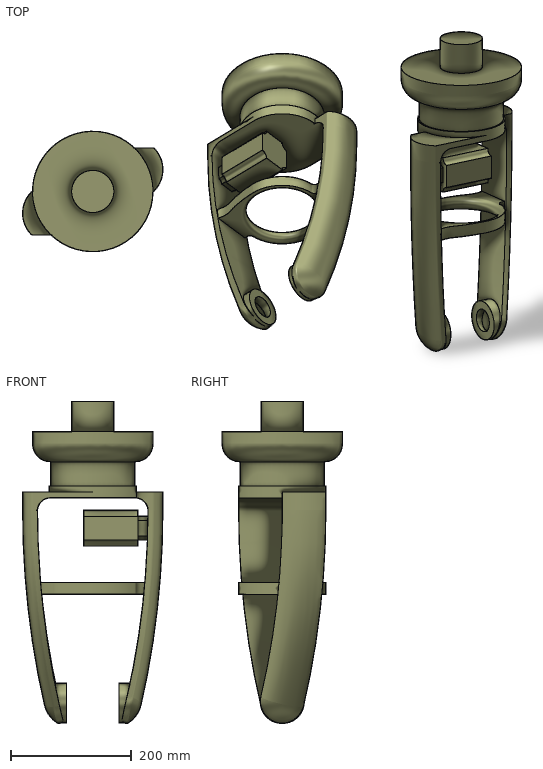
import cadquery as cq
import math


SPINDLE_RADIUS = 35.0
SPINDLE_HEIGHT = 50.0
FLANGE_RADIUS = 100.0
FLANGE_HEIGHT = 50.0
FLANGE_ROUND = 30.0
NECK_RADIUS = 70.0
NECK_HEIGHT = 40.0
COLLAR_RADIUS = 72.5
COLLAR_HEIGHT = 20.0
PLATE_THICKNESS = 10.0

LEG_WIDTH = COLLAR_RADIUS
LEG_HALF_WIDTH = LEG_WIDTH / 2
LEG_THICKNESS = 25.0
LEG_OUTER_X = 116.48
LEG_INNER_X = LEG_OUTER_X - LEG_THICKNESS
LEG_CROWN_RADIUS = 50.0
LEG_EDGE_ROUND = 5.0
LEG_DROP = 336.96
LEG_STRAIGHT = 20.0
LEG_SHIFT_X = 35.5
LEG_SHIFT_Y = LEG_HALF_WIDTH
ROOT_FILLET = 21.0
ROOT_OVERLAP = 2.0

BOSS_Z = -340.0
BOSS_RADIUS = 33.0
BOSS_HOLE_RADIUS = 19.0
BOSS_FACE_X = 43.5
BOSS_OVERLAP = 2.0

RING_TOP = -140.0
RING_HEIGHT = 20.0
RING_OUTER_RADIUS = COLLAR_RADIUS
RING_ROUND_RADIUS = RING_HEIGHT / 2
RING_ROUND_CENTRE = 70.0
TAB_WAIST_X = 64.0
TAB_WAIST_Y = 62.5
TAB_FLARE_Y = 65.5
TAB_BACK_Y = 1.4
TAB_BACK_ROUND = 8.0
TAB_END_X = 88.0
TAB_FLARE_MID_X = 76.0

BLOCK_SIZE = 60.0
BLOCK_NOTCH = 10.5
BLOCK_START_X = -15.0
BLOCK_END_X = 75.0
BLOCK_Z = -50.0
STEM_SCALE = 2 / 3
STEM_EMBED = 5.0

LEAN = math.hypot(LEG_SHIFT_X, LEG_SHIFT_Y)
ARC_DROP = LEG_DROP - LEG_STRAIGHT
PATH_RADIUS = (ARC_DROP**2 + LEAN**2) / (2 * LEAN)
PATH_ANGLE = math.asin(ARC_DROP / PATH_RADIUS)
LEG_START = cq.Vector(-LEG_INNER_X, -LEG_HALF_WIDTH, -LEG_STRAIGHT)
LEAN_DIRECTION = cq.Vector(LEG_SHIFT_X / LEAN, LEG_SHIFT_Y / LEAN, 0)
LEAN_AXIS = cq.Vector(-LEAN_DIRECTION.y, LEAN_DIRECTION.x, 0)


def turned_half_turn(shape):
    """Copy of a shape turned to the opposite side of the spindle axis."""
    return shape.rotate((0, 0, 0), (0, 0, 1), 180)


def path_point(angle):
    """Point of the leg centre line after turning through the angle."""
    sideways = LEAN_DIRECTION * (PATH_RADIUS * (1 - math.cos(angle)))
    return LEG_START + sideways - cq.Vector(0, 0, PATH_RADIUS * math.sin(angle))


def leg_section_plane(angle):
    """Plane across the leg: local X points out of the flat inner face, local Y along its width."""
    normal = LEAN_DIRECTION * -math.sin(angle) + cq.Vector(0, 0, math.cos(angle))
    outward = cq.Vector(-1, 0, 0)
    along = outward.dot(LEAN_DIRECTION)
    across = outward.dot(LEAN_AXIS)
    tilted_lean = LEAN_DIRECTION * math.cos(angle) + cq.Vector(0, 0, math.sin(angle))
    return cq.Plane(path_point(angle), tilted_lean * along + LEAN_AXIS * across, normal)


def leg_section(plane):
    """Rounded D-shaped face: flat on the inside, crowned on the outside."""
    crown_depth = LEG_CROWN_RADIUS - math.sqrt(LEG_CROWN_RADIUS**2 - LEG_HALF_WIDTH**2)
    edge_thickness = LEG_THICKNESS - crown_depth
    outline = (
        cq.Sketch()
        .segment((0, -LEG_HALF_WIDTH), (edge_thickness, -LEG_HALF_WIDTH))
        .arc((LEG_THICKNESS, 0), (edge_thickness, LEG_HALF_WIDTH))
        .segment((0, LEG_HALF_WIDTH))
        .close()
        .assemble()
        .vertices(">X")
        .fillet(LEG_EDGE_ROUND)
    )
    return cq.Workplane(plane).placeSketch(outline)


def make_head():
    """Turned body: spindle, rounded flange, neck and collar."""
    flange_bottom = COLLAR_HEIGHT + NECK_HEIGHT
    flange = (
        cq.Workplane("XY", origin=(0, 0, flange_bottom))
        .circle(FLANGE_RADIUS)
        .extrude(FLANGE_HEIGHT)
        .faces("<Z")
        .edges()
        .fillet(FLANGE_ROUND)
    )
    collar = cq.Workplane("XY").circle(COLLAR_RADIUS).extrude(COLLAR_HEIGHT)
    neck = cq.Workplane("XY").circle(NECK_RADIUS).extrude(flange_bottom)
    spindle_top = flange_bottom + FLANGE_HEIGHT + SPINDLE_HEIGHT
    spindle = cq.Workplane("XY").circle(SPINDLE_RADIUS).extrude(spindle_top)
    return collar.union(neck).union(flange).union(spindle)


def make_plate():
    """Upright leg root and the flat bridge from it to the collar."""
    root = leg_section(leg_section_plane(0)).extrude(LEG_STRAIGHT + PLATE_THICKNESS)
    bridge = (
        cq.Workplane("XY")
        .box(LEG_INNER_X, LEG_WIDTH, PLATE_THICKNESS, centered=False)
        .translate((-LEG_INNER_X, -LEG_WIDTH, 0))
    )
    return root.union(bridge)


def make_root_fillet():
    """Concave fillet in the corner between the plate and the flat inner face of the leg."""
    corner_x = -LEG_INNER_X
    arc_offset = ROOT_FILLET * (1 - math.sqrt(0.5))
    return (
        cq.Workplane("XZ")
        .moveTo(corner_x - ROOT_OVERLAP, 0)
        .lineTo(corner_x + ROOT_FILLET, 0)
        .threePointArc((corner_x + arc_offset, -arc_offset), (corner_x, -ROOT_FILLET))
        .lineTo(corner_x - ROOT_OVERLAP, -ROOT_FILLET)
        .close()
        .extrude(LEG_WIDTH)
    )


def make_tip(plane):
    """Domed end of the leg: half of a round lens with the same profile as the leg section."""
    crown = cq.Workplane("XY", origin=(0, 0, LEG_THICKNESS - LEG_CROWN_RADIUS)).sphere(LEG_CROWN_RADIUS)
    disc = cq.Workplane("XY").circle(LEG_HALF_WIDTH).extrude(LEG_THICKNESS)
    lens = disc.intersect(crown)
    rim = lens.edges(cq.selectors.RadiusNthSelector(0)).edges(">Z")
    inner_face = cq.Plane(plane.origin, plane.yDir, plane.xDir)
    rounded_lens = cq.Workplane(rim.fillet(LEG_EDGE_ROUND).val().moved(inner_face.location))
    below_leg = cq.Workplane(plane).rect(LEG_WIDTH * 2, LEG_WIDTH * 2).extrude(-LEG_WIDTH)
    return rounded_lens.intersect(below_leg)


def make_boss(plane):
    """Hollow axle boss between its end face and the inclined inner face of the leg."""
    boss = (
        cq.Workplane("YZ", origin=(-LEG_OUTER_X, 0, BOSS_Z))
        .circle(BOSS_RADIUS)
        .circle(BOSS_HOLE_RADIUS)
        .extrude(LEG_OUTER_X - BOSS_FACE_X)
    )
    inner_side = (
        cq.Workplane(cq.Plane(plane.origin + plane.xDir * BOSS_OVERLAP, plane.yDir, plane.xDir * -1))
        .rect(LEG_OUTER_X * 2, LEG_OUTER_X * 2)
        .extrude(LEG_OUTER_X)
    )
    return boss.intersect(inner_side)


def make_leg():
    """Left leg with its plate, domed tip and axle boss."""
    centre_line = cq.Edge.makeThreePointArc(
        path_point(0), path_point(PATH_ANGLE / 2), path_point(PATH_ANGLE)
    )
    limb = leg_section(leg_section_plane(0)).sweep(cq.Workplane(centre_line))
    tip_plane = leg_section_plane(PATH_ANGLE)
    return (
        make_plate()
        .union(limb)
        .union(make_root_fillet())
        .union(make_tip(tip_plane))
        .union(make_boss(tip_plane))
    )


def make_tab():
    """Blend from the front of the ring to the left leg."""
    inset = RING_OUTER_RADIUS - TAB_WAIST_Y
    front_radius = (TAB_WAIST_X**2 + inset**2) / (2 * inset)
    round_end_y = TAB_BACK_Y + TAB_BACK_ROUND
    round_end_x = math.sqrt(RING_OUTER_RADIUS**2 - round_end_y**2)
    round_start_x = round_end_x + TAB_BACK_ROUND
    return (
        cq.Workplane("XY", origin=(0, 0, RING_TOP))
        .moveTo(0, -RING_OUTER_RADIUS)
        .radiusArc((-TAB_WAIST_X, -TAB_WAIST_Y), front_radius)
        .threePointArc((-TAB_FLARE_MID_X, -TAB_WAIST_Y), (-TAB_END_X, -TAB_FLARE_Y))
        .lineTo(-TAB_END_X, TAB_BACK_Y)
        .lineTo(-round_start_x, TAB_BACK_Y)
        .radiusArc((-round_end_x, round_end_y), -TAB_BACK_ROUND)
        .lineTo(0, 0)
        .close()
        .extrude(-RING_HEIGHT)
    )


def make_ring():
    """Stiffening ring with two leg tabs and a fully rounded bore."""
    tab = make_tab()
    disc = cq.Workplane("XY", origin=(0, 0, RING_TOP)).circle(RING_OUTER_RADIUS).extrude(-RING_HEIGHT)
    bore = cq.Workplane("XY", origin=(0, 0, RING_TOP)).circle(RING_ROUND_CENTRE).extrude(-RING_HEIGHT)
    bead = cq.Workplane(
        cq.Solid.makeTorus(
            RING_ROUND_CENTRE, RING_ROUND_RADIUS, cq.Vector(0, 0, RING_TOP - RING_ROUND_RADIUS)
        )
    )
    rounded_bore = bore.cut(bead)
    return disc.union(tab).union(turned_half_turn(tab)).cut(rounded_bore)


def notched_bar(size, notch_radius, start_x, end_x):
    """Square bar along X with a concave quarter-round along each long edge."""
    half_size = size / 2
    centre = (start_x, LEG_HALF_WIDTH, BLOCK_Z)
    bar = cq.Workplane("YZ", origin=centre).rect(size, size).extrude(end_x - start_x)
    corners = [(y, z) for y in (-half_size, half_size) for z in (-half_size, half_size)]
    notches = cq.Workplane("YZ", origin=centre).pushPoints(corners).circle(notch_radius)
    return bar.cut(notches.extrude(end_x - start_x))


def make_block():
    """Block and the smaller stem that joins it to the +X leg."""
    block = notched_bar(BLOCK_SIZE, BLOCK_NOTCH, BLOCK_START_X, BLOCK_END_X)
    stem_end = LEG_INNER_X + STEM_EMBED
    stem = notched_bar(BLOCK_SIZE * STEM_SCALE, BLOCK_NOTCH * STEM_SCALE, BLOCK_END_X, stem_end)
    return block.union(stem)


leg = make_leg()
result = make_head().union(leg).union(turned_half_turn(leg)).union(make_ring()).union(make_block())